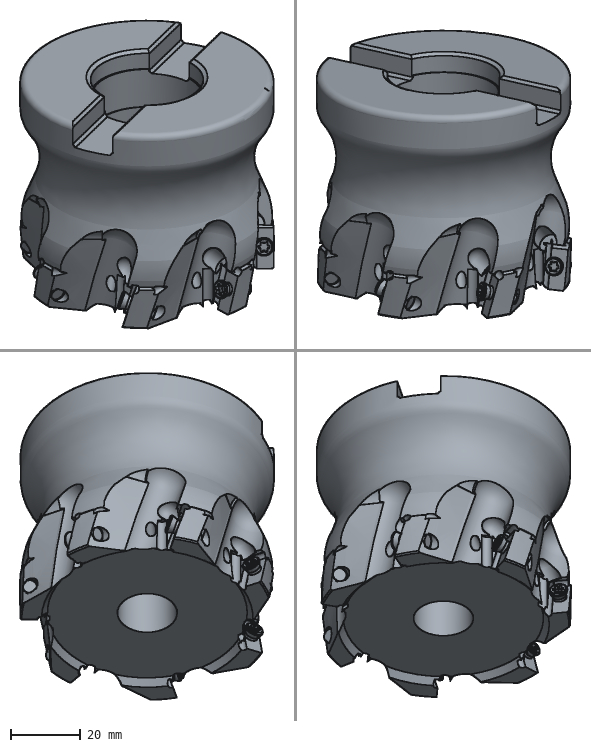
import cadquery as cq
import math

HEIGHT = 62.8
TEETH = 7
PITCH = 360 / TEETH
FIRST_TOOTH = -75.6

FLANGE_R = 36.55
FLANGE_ROUND = 2.0
FLANGE_BOTTOM = 52.9
FLANGE_ROUND_END = (35.3, 49.6)
NECK_MID = (31.0, 37.8)
CONE_TOP = (32.15, 30.1)
CONE_BOTTOM = (35.5, 21.6)
SHOULDER_MID = (36.1, 18.5)
GROOVE_TOP = (36.25, 15.4)
GROOVE_FLOOR = (35.95, 13.35)
LAND_TOP = (36.85, 12.8)
LAND_BOTTOM_R = 36.55
LAND_CHAMFER = 0.45

BORE_R = 15.85
BORE_FLOOR = 35.2
BORE_RELIEF_R = 16.2
FIT_TOP = 57.0
FIT_BOTTOM = 44.8
BORE_CHAMFER_W = 1.25
BORE_CHAMFER_H = 0.8
THROUGH_R = 8.6
THROUGH_CHAMFER = 0.3
RECESS_R = 30.45
RECESS_DEPTH = 2.1
RECESS_SLOPE = 1.7

SLOT_W = 12.8
SLOT_DEPTH = 7.2
SLOT_CHAMFER = 0.9

FLUTE_R = 6.25
FLUTE_BOTTOM = (33.25, -8.7)
FLUTE_LEAN = (0.08, 0.27, 1)
FLUTE_TOP = 24.1
REACH = 18.35

FLANK_START = (28.2, -12.5)
FLANK_EDGE = (28.0, -13.65)
FLANK_RIM = (27.8, -24.95)
FLANK_TOP = 24.95
FLANK_TWIST = 12.8
FLANK_ROUND = 4.4

SEAT_LEAN = 16.0
SEAT_SHIFT = math.tan(math.radians(SEAT_LEAN))
SEAT_INNER = 30.45
POCKET_TOP = 12.8
POCKET_FRONT = 6.6
CORNER_RELIEF_R = 1.2
WALL_FLUTE_R = 1.55
WALL_FLUTE_AXIS = (29.6, -2.0)
EDGE_RELIEF_R = 1.25
EDGE_RELIEF_INNER = 31.55
UNDERCUT = 3.7

ACCESS_R = 3.0
ACCESS_START = (29.95, -0.4, 16.15)
ACCESS_DIR = (0.25, 0.6, -0.65)
ACCESS_LENGTH = 4.4

NOTCH_R = 1.55
NOTCH_LENGTH = 4.4
NOTCH_TIP = (30.0, -17.6, 12.7)

COOLANT_R = 1.5
COOLANT_ENTRY = (11.95, -12.4)
COOLANT_EXIT = (27.9, -10.0)
COOLANT_EXIT_Z = 10.3
COOLANT_OVERRUN = 2.9

SCREW_X = 33.7
SCREW_Z = 6.75
SCREW_R = 2.0
SCREW_LENGTH = 7.55
SCREW_HEAD_R = 2.65
SCREW_HEAD_H = 3.2
SCREW_CONE_H = 1.6
SCREW_RIM_H = 0.7
SCREW_HEAD_CHAMFER = 0.4
SCREW_SOCKET_R = 1.2
SCREW_LOBE_R = 0.45
SCREW_LOBES = 6
SCREW_SOCKET_DEPTH = 1.2
EXIT_HOLE_R = 2.3


def on_tooth(shape, index):
    """Turn a shape from the tooth frame to one tooth position."""
    return shape.rotate((0, 0, 0), (0, 0, 1), FIRST_TOOTH + index * PITCH)


def rod(start, direction, length, radius):
    """Round bar from a start point along a direction."""
    return cq.Workplane(cq.Solid.makeCylinder(radius, length, cq.Vector(*start), cq.Vector(*direction)))


def seat_plane():
    """Plane on the seat: local x radial, local y up the seat, normal out of the seat."""
    return cq.Plane(origin=(0, 0, 0), xDir=(1, 0, 0), normal=(0, -1, 0)).rotated((-SEAT_LEAN, 0, 0))


def up_seat(z):
    """Distance along the leaning seat for a height."""
    return z / math.cos(math.radians(SEAT_LEAN))


def polar(radius, angle, z):
    """Point at a radius, an angle in degrees and a height."""
    a = math.radians(angle)
    return cq.Vector(radius * math.cos(a), radius * math.sin(a), z)


def turned_blank():
    corner = FLANGE_ROUND * (1 - math.sqrt(0.5))
    return (
        cq.Workplane("XZ")
        .moveTo(0, 0)
        .lineTo(LAND_BOTTOM_R - LAND_CHAMFER, 0)
        .lineTo(LAND_BOTTOM_R, LAND_CHAMFER)
        .lineTo(*LAND_TOP)
        .lineTo(*GROOVE_FLOOR)
        .lineTo(*GROOVE_TOP)
        .threePointArc(SHOULDER_MID, CONE_BOTTOM)
        .lineTo(*CONE_TOP)
        .threePointArc(NECK_MID, FLANGE_ROUND_END)
        .tangentArcPoint((FLANGE_R, FLANGE_BOTTOM), relative=False)
        .lineTo(FLANGE_R, HEIGHT - FLANGE_ROUND)
        .threePointArc((FLANGE_R - corner, HEIGHT - corner), (FLANGE_R - FLANGE_ROUND, HEIGHT))
        .lineTo(0, HEIGHT)
        .close()
        .revolve(360, (0, 0, 0), (0, 1, 0))
    )


def bore():
    return (
        cq.Workplane("XZ")
        .polyline([
            (0, 0),
            (THROUGH_R, 0),
            (THROUGH_R, BORE_FLOOR - THROUGH_CHAMFER),
            (THROUGH_R + THROUGH_CHAMFER, BORE_FLOOR),
            (BORE_RELIEF_R, BORE_FLOOR),
            (BORE_RELIEF_R, FIT_BOTTOM),
            (BORE_R, FIT_BOTTOM),
            (BORE_R, FIT_TOP),
            (BORE_RELIEF_R, FIT_TOP),
            (BORE_RELIEF_R, HEIGHT - BORE_CHAMFER_H),
            (BORE_RELIEF_R + BORE_CHAMFER_W, HEIGHT),
            (0, HEIGHT),
        ])
        .close()
        .revolve(360, (0, 0, 0), (0, 1, 0))
    )


def bottom_recess():
    return (
        cq.Workplane("XZ")
        .polyline([(0, 0), (RECESS_R, 0), (RECESS_R - RECESS_SLOPE, RECESS_DEPTH), (0, RECESS_DEPTH)])
        .close()
        .revolve(360, (0, 0, 0), (0, 1, 0))
    )


def drive_slot():
    half = SLOT_W / 2
    floor = HEIGHT - SLOT_DEPTH
    right_side = [
        (half - SLOT_CHAMFER, floor),
        (half, floor + SLOT_CHAMFER),
        (half, HEIGHT - SLOT_CHAMFER),
        (half + SLOT_CHAMFER, HEIGHT),
    ]
    left_side = [(-x, z) for x, z in reversed(right_side)]
    return cq.Workplane("XZ").polyline(right_side + left_side).close().extrude(2 * FLANGE_R, both=True)


def flute_channel():
    """Leaning ball-ended channel, open towards the rim."""
    lean = cq.Vector(*FLUTE_LEAN)
    foot = cq.Vector(*FLUTE_BOTTOM, 0)
    top = foot + lean * FLUTE_TOP
    start = foot - lean * FLUTE_R
    outward = cq.Vector(1, 0, -FLUTE_LEAN[0])
    opening = (
        cq.Workplane(cq.Plane(origin=start, xDir=outward, normal=lean))
        .center(REACH / 2, 0)
        .rect(REACH, 2 * FLUTE_R)
        .extrude((top - start).Length)
    )
    return (
        rod(start.toTuple(), FLUTE_LEAN, (top - start).Length, FLUTE_R)
        .union(opening)
        .union(rod(top.toTuple(), outward.toTuple(), REACH, FLUTE_R))
        .union(cq.Workplane("XY").sphere(FLUTE_R).translate(top))
    )


def flute_flank():
    """Twisted flank that runs from the flute floor to the rim, rounded at its upper end."""
    clear_x = FLANK_RIM[0] + REACH
    section = [
        FLUTE_BOTTOM,
        FLANK_START,
        FLANK_EDGE,
        FLANK_RIM,
        (clear_x, FLANK_RIM[1]),
        (clear_x, FLUTE_BOTTOM[1]),
    ]
    flank = cq.Workplane("XY").polyline(section).close().twistExtrude(FLANK_TOP, FLANK_TWIST)
    length = math.dist(FLANK_EDGE, FLANK_RIM)
    end_round = rod((FLANK_EDGE[0] + FLANK_ROUND, FLANK_EDGE[1], FLANK_TOP), (0, -1, 0), length, FLANK_ROUND)
    return flank.union(end_round.rotate((0, 0, 0), (0, 0, 1), FLANK_TWIST))


def insert_pocket():
    """Recess in front of the seat, with relieved inner corner, inner wall and upper edge."""
    recess_height = up_seat(POCKET_TOP + UNDERCUT)
    recess = (
        cq.Workplane(seat_plane())
        .center(SEAT_INNER, up_seat(-UNDERCUT))
        .rect(REACH, recess_height, centered=False)
        .extrude(POCKET_FRONT)
    )
    corner_foot = (SEAT_INNER, -UNDERCUT * SEAT_SHIFT, -UNDERCUT)
    corner = rod(corner_foot, (0, SEAT_SHIFT, 1), recess_height, CORNER_RELIEF_R)
    wall = rod((*WALL_FLUTE_AXIS, -UNDERCUT), (0, 0, 1), POCKET_TOP + UNDERCUT, WALL_FLUTE_R)
    edge = rod((EDGE_RELIEF_INNER, POCKET_TOP * SEAT_SHIFT, POCKET_TOP), (1, 0, 0), REACH, EDGE_RELIEF_R)
    return recess.union(corner).union(wall).union(edge)


def access_cut():
    """Ball-ended channel that runs to the upper inner corner of the seat."""
    ball = cq.Workplane("XY").sphere(ACCESS_R).translate(ACCESS_START)
    return ball.union(rod(ACCESS_START, ACCESS_DIR, ACCESS_LENGTH, ACCESS_R))


def flank_notch():
    """Pointed notch where the rim groove runs out on the flute flank."""
    cone = cq.Solid.makeCone(0, NOTCH_R, NOTCH_LENGTH, cq.Vector(*NOTCH_TIP), cq.Vector(0, -1, 0))
    return cq.Workplane(cone)


def coolant_hole():
    """Slanting hole from the bore floor to the flute floor."""
    entry = polar(*COOLANT_ENTRY, BORE_FLOOR)
    path = polar(*COOLANT_EXIT, COOLANT_EXIT_Z) - entry
    start = entry - path.normalized() * COOLANT_OVERRUN
    return rod(start.toTuple(), path.toTuple(), path.Length + 2 * COOLANT_OVERRUN, COOLANT_R)


def screw_hole():
    """Hole square to the seat, wider where it leaves through the back of the tooth."""
    hole = cq.Workplane(seat_plane()).center(SCREW_X, up_seat(SCREW_Z)).circle(SCREW_R).extrude(-SCREW_LENGTH)
    exit_hole = (
        cq.Workplane(seat_plane())
        .workplane(offset=-SCREW_LENGTH)
        .center(SCREW_X, up_seat(SCREW_Z))
        .circle(EXIT_HOLE_R)
        .extrude(-SCREW_LENGTH)
    )
    return hole.union(exit_hole)


def cutter_body():
    body = turned_blank().cut(bore()).cut(bottom_recess()).cut(drive_slot())
    tooth_cuts = [
        flute_channel(),
        flute_flank(),
        insert_pocket(),
        access_cut(),
        flank_notch(),
        coolant_hole(),
        screw_hole(),
    ]
    all_cuts = [on_tooth(cut, index).val() for index in range(TEETH) for cut in tooth_cuts]
    return cq.Workplane(body.val().cut(*all_cuts))


def clamping_screw():
    """Screw with a tapered head and a six-lobed socket, built in the tooth frame."""
    rim_bottom = SCREW_HEAD_H - SCREW_RIM_H
    profile = [
        (0, -SCREW_LENGTH),
        (SCREW_R, -SCREW_LENGTH),
        (SCREW_R, rim_bottom - SCREW_CONE_H),
        (SCREW_HEAD_R, rim_bottom),
        (SCREW_HEAD_R, SCREW_HEAD_H - SCREW_HEAD_CHAMFER),
        (SCREW_HEAD_R - SCREW_HEAD_CHAMFER, SCREW_HEAD_H),
        (0, SCREW_HEAD_H),
    ]
    turned = cq.Workplane("XZ").polyline(profile).close().revolve(360, (0, 0, 0), (0, 1, 0))
    socket = cq.Workplane("XY").workplane(offset=SCREW_HEAD_H - SCREW_SOCKET_DEPTH)
    core = socket.circle(SCREW_SOCKET_R).extrude(SCREW_SOCKET_DEPTH)
    lobe_centres = socket.polarArray(SCREW_SOCKET_R, 0, 360, SCREW_LOBES)
    lobes = lobe_centres.circle(SCREW_LOBE_R).extrude(SCREW_SOCKET_DEPTH)
    screw = turned.cut(core.union(lobes))
    plane = seat_plane()
    place = cq.Plane(
        origin=plane.toWorldCoords((SCREW_X, up_seat(SCREW_Z))).toTuple(),
        xDir=plane.xDir.toTuple(),
        normal=plane.zDir.toTuple(),
    )
    return cq.Workplane(screw.val().located(cq.Location(place)))


cutter = cutter_body()
screws = [on_tooth(clamping_screw(), index).val() for index in range(TEETH)]
result = cq.Compound.makeCompound([cutter.solids().val(), *screws])